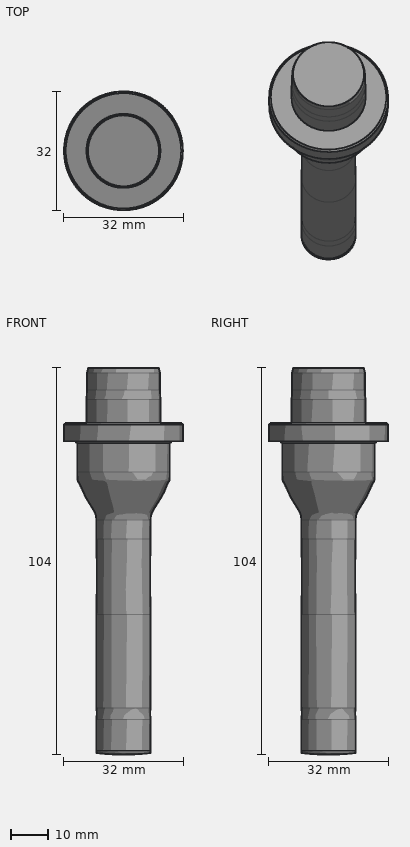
import cadquery as cq
import math

CAP_HEIGHT = 1.0
LOWER_WAIST_BOTTOM = 9.6
LOWER_WAIST_TOP = 12.7
UPPER_WAIST_BOTTOM = 37.8
UPPER_WAIST_TOP = 58.1
NECK_BOTTOM = 63.2
NECK_TOP = 76.0
FLANGE_BOTTOM = 84.2
FLANGE_TOP = 89.2
TAPER_BOTTOM = 95.6
TAPER_TOP = 98.1
TOTAL_HEIGHT = 104.0

SHAFT_RADIUS = 14.7 / 2
WAIST_RADIUS = 14.5 / 2
COLLAR_RADIUS = 25.0 / 2
FLANGE_RADIUS = 32.0 / 2
SPIGOT_BASE_RADIUS = 20.0 / 2
SPIGOT_TOP_RADIUS = 19.7 / 2

FLANGE_CHAMFER = 0.5
COLLAR_CHAMFER = 0.5
SPIGOT_LEAD_HEIGHT = 1.2
SPIGOT_LEAD_DEPTH = 0.3

SHOULDER_RADIUS = 10.0
ROOT_RADIUS = 5.0

CAP_TOP_RADIUS = 7.1
CAP_RIM_TOP_TO_WIDEST = 0.3
DOME_RADIUS = 7.0
DOME_RISE = 0.4


def neck_slope():
    """Angle between the neck's cone and the vertical axis."""
    radius_sum = SHOULDER_RADIUS + ROOT_RADIUS
    centre_offset = radius_sum - (COLLAR_RADIUS - SHAFT_RADIUS)
    centre_drop = NECK_TOP - NECK_BOTTOM
    centre_distance = math.hypot(centre_offset, centre_drop)
    return math.atan2(centre_drop, centre_offset) - math.acos(radius_sum / centre_distance)


def root_point(angle):
    """Point on the concave root arc, at an angle from its lower end."""
    radius = SHAFT_RADIUS + ROOT_RADIUS * (1 - math.cos(angle))
    return radius, NECK_BOTTOM + ROOT_RADIUS * math.sin(angle)


def shoulder_point(angle):
    """Point on the convex shoulder arc, at an angle from its upper end."""
    radius = COLLAR_RADIUS - SHOULDER_RADIUS * (1 - math.cos(angle))
    return radius, NECK_TOP - SHOULDER_RADIUS * math.sin(angle)


def add_waist(profile, bottom, top):
    """Run up the shaft to a shallow concave waist and along it to its top."""
    return profile.lineTo(SHAFT_RADIUS, bottom).threePointArc(
        (WAIST_RADIUS, (bottom + top) / 2), (SHAFT_RADIUS, top)
    )


def add_neck(profile):
    """Flare from the shaft out to the collar."""
    slope = neck_slope()
    neck_points = [
        root_point(slope / 2),
        root_point(slope),
        shoulder_point(slope),
        shoulder_point(slope / 2),
        (COLLAR_RADIUS, NECK_TOP),
    ]
    return (
        profile.lineTo(SHAFT_RADIUS, NECK_BOTTOM)
        .spline(neck_points, tangents=[(0, 1), (0, 1)], includeCurrent=True)
    )


def add_flange(profile):
    """Collar, flange and the flat top of the flange up to the spigot."""
    return (
        profile.lineTo(COLLAR_RADIUS, FLANGE_BOTTOM - COLLAR_CHAMFER)
        .lineTo(COLLAR_RADIUS + COLLAR_CHAMFER, FLANGE_BOTTOM)
        .lineTo(FLANGE_RADIUS, FLANGE_BOTTOM)
        .lineTo(FLANGE_RADIUS, FLANGE_TOP - FLANGE_CHAMFER)
        .lineTo(FLANGE_RADIUS - FLANGE_CHAMFER, FLANGE_TOP)
        .lineTo(SPIGOT_BASE_RADIUS, FLANGE_TOP)
    )


def add_spigot(profile):
    """Stepped spigot with a steep lead-in at its top edge."""
    return (
        profile.lineTo(SPIGOT_BASE_RADIUS, TAPER_BOTTOM)
        .lineTo(SPIGOT_TOP_RADIUS, TAPER_TOP)
        .lineTo(SPIGOT_TOP_RADIUS, TOTAL_HEIGHT - SPIGOT_LEAD_HEIGHT)
        .lineTo(SPIGOT_TOP_RADIUS - SPIGOT_LEAD_DEPTH, TOTAL_HEIGHT)
        .lineTo(0, TOTAL_HEIGHT)
    )


def revolve_about_axis(profile):
    """Close a half profile and turn it about the vertical axis."""
    return profile.close().revolve(360, (0, 0, 0), (0, 1, 0))


def make_stem():
    """Shaft, neck, flange and spigot as one turned body."""
    profile = cq.Workplane("XZ").moveTo(0, CAP_HEIGHT).lineTo(SHAFT_RADIUS, CAP_HEIGHT)
    profile = add_waist(profile, LOWER_WAIST_BOTTOM, LOWER_WAIST_TOP)
    profile = add_waist(profile, UPPER_WAIST_BOTTOM, UPPER_WAIST_TOP)
    profile = add_neck(profile)
    profile = add_flange(profile)
    profile = add_spigot(profile)
    return revolve_about_axis(profile)


def make_end_cap():
    """Thin disc with a rounded rim and a domed underside, seated against the shaft's lower end."""
    widest_point = (SHAFT_RADIUS, CAP_HEIGHT - CAP_RIM_TOP_TO_WIDEST)
    dome_midpoint = (DOME_RADIUS / 2, DOME_RISE / 4)
    profile = (
        cq.Workplane("XZ")
        .threePointArc(dome_midpoint, (DOME_RADIUS, DOME_RISE))
        .threePointArc(widest_point, (CAP_TOP_RADIUS, CAP_HEIGHT))
        .lineTo(0, CAP_HEIGHT)
    )
    return revolve_about_axis(profile)


stem = make_stem()
end_cap = make_end_cap()

result = cq.Compound.makeCompound([stem.val(), end_cap.val()])